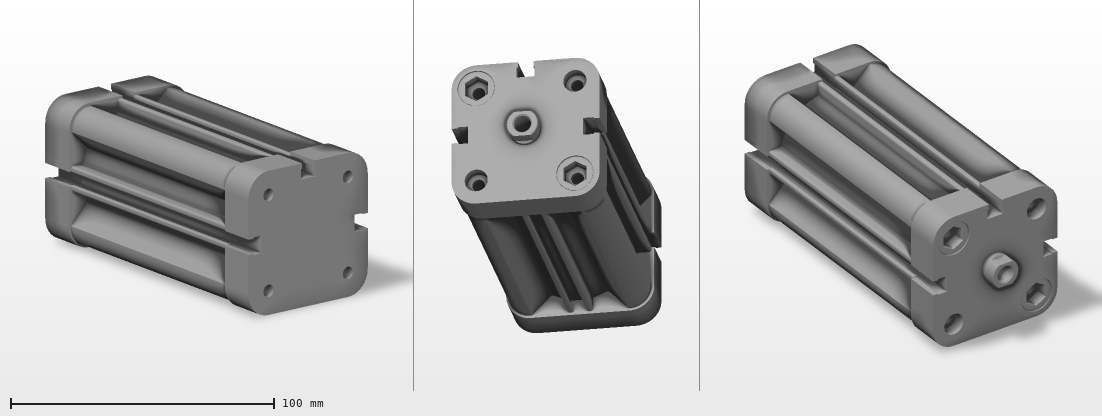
import cadquery as cq
import math

TOTAL_LENGTH = 133.0
ROD_PROTRUSION = 7.0
CAP_LENGTH = 14.8
TUBE_START = ROD_PROTRUSION + CAP_LENGTH
REAR_CAP_START = TOTAL_LENGTH - CAP_LENGTH
TUBE_LENGTH = REAR_CAP_START - TUBE_START

CAP_WIDTH = 57.0
CORNER_AXIS = 19.0
CAP_CORNER_RADIUS = CAP_WIDTH / 2 - CORNER_AXIS
CAP_SLOT_MOUTH_WIDTH = 6.0
CAP_SLOT_MOUTH_DEPTH = 2.3
CAP_SLOT_FLOOR = 22.2
SLOT_WIDTH = 6.9

THROUGH_DIAMETER = 4.9
COUNTERBORE_DIAMETER = 8.9
SOCKET_DEPTH = 5.0
HEX_ACROSS_FLATS = 8.9
HEX_TURN = 30
HEAD_DIAMETER = 13.8
HEAD_SEAT_DIAMETER = 14.4
HEAD_RECESS = 0.4
HEAD_GAP_DEPTH = 0.8

BARREL_RADIUS = 22.5
TUBE_CORNER_RADIUS = 8.5
TUBE_HALF_WIDTH = CORNER_AXIS + TUBE_CORNER_RADIUS
WEB_WIDTH = 12.5
RAIL_WIDTH = 10.0
RAIL_MOUTH_WIDTH = 5.2
RAIL_LIP_THICKNESS = 1.5
RAIL_SLOT_FLOOR = 22.6
ROOT_FILLET = 0.9
RAIL_EDGE_FILLET = 1.0
MOUTH_FILLET = 0.7

ROD_DIAMETER = 12.0
ROD_FLATS = 10.0
FLAT_LENGTH = 4.9
FLAT_RUNOUT = 0.5
ROD_TIP_CHAMFER = 0.3
ROD_BORE_DIAMETER = 6.6
ROD_BORE_DEPTH = 14.6
ROD_BORE_CHAMFER = 0.5
DRILL_POINT_ANGLE = 118.0

CORNERS = [(sy * CORNER_AXIS, sz * CORNER_AXIS) for sy in (1, -1) for sz in (1, -1)]
SCREW_CORNERS = [(y, z) for y, z in CORNERS if y * z > 0]
OPEN_CORNERS = [(y, z) for y, z in CORNERS if y * z < 0]
TOP_AND_SIDES = (0, 90, -90)
ALL_SIDES = (0, 90, 180, -90)


def section(x):
    """Workplane across the axis at x: its local axes are Y and Z."""
    return cq.Workplane("YZ", origin=(x, 0, 0))


def turned(shape, angle):
    return shape.rotate((0, 0, 0), (1, 0, 0), angle)


def bar(start, length, width, bottom, top):
    """Bar along X, centred on Y, between two heights on the +Z side."""
    return section(start).center(0, (bottom + top) / 2).rect(width, top - bottom).extrude(length)


def slot_cutter(start, length, mouth_width, mouth_bottom, floor):
    """T-slot on the +Z side: a narrow mouth over a wider undercut."""
    mouth = bar(start, length, mouth_width, floor, CAP_WIDTH)
    undercut = bar(start, length, SLOT_WIDTH, floor, mouth_bottom)
    return mouth.union(undercut)


def blank_cap(start):
    cap = section(start).rect(CAP_WIDTH, CAP_WIDTH).extrude(CAP_LENGTH)
    cap = cap.edges("|X").fillet(CAP_CORNER_RADIUS)
    cap = cap.cut(section(start).pushPoints(CORNERS).circle(THROUGH_DIAMETER / 2).extrude(CAP_LENGTH))
    slot = slot_cutter(
        start, CAP_LENGTH, CAP_SLOT_MOUTH_WIDTH, CAP_WIDTH / 2 - CAP_SLOT_MOUTH_DEPTH, CAP_SLOT_FLOOR
    )
    for angle in TOP_AND_SIDES:
        cap = cap.cut(turned(slot, angle))
    return cap


def make_head_cutter():
    """Space around a recessed screw head, from a cap face at x = 0, with its hexagon socket."""
    seat = section(0).circle(HEAD_SEAT_DIAMETER / 2).extrude(HEAD_GAP_DEPTH)
    head = section(HEAD_RECESS).circle(HEAD_DIAMETER / 2).extrude(HEAD_GAP_DEPTH)
    hex_corner_diameter = HEX_ACROSS_FLATS / math.cos(math.radians(30))
    socket = section(HEAD_RECESS).polygon(6, hex_corner_diameter).extrude(SOCKET_DEPTH)
    return seat.cut(head).union(turned(socket, HEX_TURN))


def make_front_cap():
    cap = blank_cap(ROD_PROTRUSION)
    face = section(ROD_PROTRUSION)
    head_cutter = make_head_cutter()
    for y, z in SCREW_CORNERS:
        cap = cap.cut(head_cutter.translate((ROD_PROTRUSION, y, z)))
    cap = cap.cut(face.pushPoints(OPEN_CORNERS).circle(COUNTERBORE_DIAMETER / 2).extrude(SOCKET_DEPTH))
    return cap.cut(face.circle(ROD_DIAMETER / 2).extrude(CAP_LENGTH))


def make_rear_cap():
    return blank_cap(REAR_CAP_START)


def round_tube_edges(tube, radius, y, z):
    """Fillet the eight lengthwise edges that mirror and swap (y, z) onto each other."""
    spots = [(sy * a, sz * b) for a, b in ((y, z), (z, y)) for sy in (1, -1) for sz in (1, -1)]
    middle = TUBE_START + TUBE_LENGTH / 2
    edges = cq.Workplane("YZ")
    for spot in spots:
        nearest = cq.selectors.NearestToPointSelector((middle, *spot))
        edges = edges.add(tube.edges("|X").edges(nearest).val())
    return tube.newObject([tube.val().fillet(radius, edges.vals())])


def make_tube():
    base = section(TUBE_START)
    tube = base.circle(BARREL_RADIUS).extrude(TUBE_LENGTH)
    corner_spacing = 2 * CORNER_AXIS * math.sqrt(2)
    for angle in (45, -45):
        web = base.rect(corner_spacing, WEB_WIDTH).extrude(TUBE_LENGTH)
        ends = base.pushPoints([(corner_spacing / 2, 0), (-corner_spacing / 2, 0)])
        discs = ends.circle(TUBE_CORNER_RADIUS).extrude(TUBE_LENGTH)
        strip = base.rect(2 * corner_spacing, WEB_WIDTH).extrude(TUBE_LENGTH)
        tube = tube.union(turned(web.union(discs.intersect(strip)), angle))
    rail = bar(TUBE_START, TUBE_LENGTH, RAIL_WIDTH, 0, TUBE_HALF_WIDTH)
    slot = slot_cutter(
        TUBE_START, TUBE_LENGTH, RAIL_MOUTH_WIDTH, TUBE_HALF_WIDTH - RAIL_LIP_THICKNESS, RAIL_SLOT_FLOOR
    )
    for angle in ALL_SIDES:
        tube = tube.union(turned(rail, angle))
    for angle in ALL_SIDES:
        tube = tube.cut(turned(slot, angle))
    web_offset = WEB_WIDTH / math.sqrt(2)
    web_root = (math.sqrt(2 * BARREL_RADIUS**2 - web_offset**2) - web_offset) / 2
    tube = round_tube_edges(tube, ROOT_FILLET, web_root + web_offset, web_root)
    rail_root = math.sqrt(BARREL_RADIUS**2 - (RAIL_WIDTH / 2)**2)
    tube = round_tube_edges(tube, ROOT_FILLET, rail_root, RAIL_WIDTH / 2)
    tube = round_tube_edges(tube, RAIL_EDGE_FILLET, TUBE_HALF_WIDTH, RAIL_WIDTH / 2)
    tube = round_tube_edges(tube, MOUTH_FILLET, TUBE_HALF_WIDTH, RAIL_MOUTH_WIDTH / 2)
    return tube.cut(base.pushPoints(CORNERS).circle(THROUGH_DIAMETER / 2).extrude(TUBE_LENGTH))


def make_rod():
    radius = ROD_DIAMETER / 2
    rod = section(0).circle(radius).extrude(TUBE_START).faces("<X").chamfer(ROD_TIP_CHAMFER)
    flat_height = ROD_FLATS / 2
    flat_outline = [
        (0, flat_height),
        (FLAT_LENGTH, flat_height),
        (FLAT_LENGTH + FLAT_RUNOUT, radius),
        (0, radius),
    ]
    flat = cq.Workplane("XZ").polyline(flat_outline).close().extrude(radius, both=True)
    rod = rod.cut(flat).cut(turned(flat, 180))
    bore_radius = ROD_BORE_DIAMETER / 2
    point_depth = bore_radius / math.tan(math.radians(DRILL_POINT_ANGLE / 2))
    bore_outline = [
        (0, 0),
        (0, bore_radius + ROD_BORE_CHAMFER),
        (ROD_BORE_CHAMFER, bore_radius),
        (ROD_BORE_DEPTH, bore_radius),
        (ROD_BORE_DEPTH + point_depth, 0),
    ]
    bore = cq.Workplane("XY").polyline(bore_outline).close().revolve(360, (0, 0, 0), (1, 0, 0))
    return rod.cut(bore)


front_cap = make_front_cap()
rear_cap = make_rear_cap()
tube = make_tube()
rod = make_rod()

bodies = (front_cap, rear_cap, tube, rod)
result = cq.Compound.makeCompound([body.solids().val() for body in bodies])